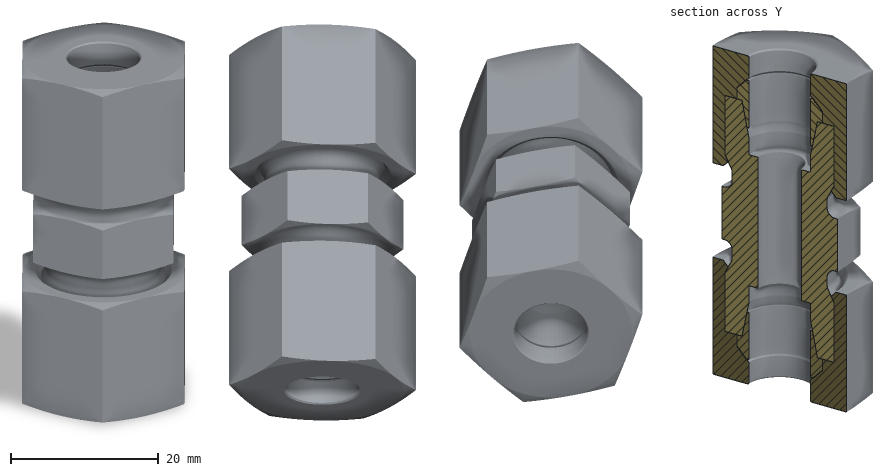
import cadquery as cq
import math


overall_length = 49.0
half_length = overall_length / 2
nut_height = 17.5
nut_inner_z = half_length - nut_height
body_end_z = 17.65
tube_stop_z = 9.8

nut_flats = 22.0
body_flats = 19.0
body_hex_height = 7.95
corner_chamfer_angle = 15.0

thread_diameter = 18.0
neck_diameter = 15.7
neck_length = 1.25
neck_fillet = (thread_diameter - neck_diameter) / 2
runout_angle = 30.0
through_diameter = 7.0
tube_diameter = 10.0
cone_mouth_diameter = 12.3
cone_half_angle = 12.0

nut_bore_depth = 3.3
bore_chamfer = 0.2
nut_mouth_diameter = 18.5

ring_diameter = 14.0
ring_nose_length = 3.9
ring_back_gap = 0.4
seat_top_z = half_length - nut_bore_depth
seat_bottom_z = seat_top_z - (ring_diameter - tube_diameter) / 2

neck_start_z = body_hex_height / 2 + neck_fillet
neck_end_z = neck_start_z + neck_length
runout_radians = math.radians(runout_angle)
runout_slope = math.tan(runout_radians)
runout_start_radius = neck_diameter / 2 + neck_fillet * (1 - math.cos(runout_radians))
runout_start_z = neck_end_z + neck_fillet * math.sin(runout_radians)
runout_end_z = runout_start_z + (thread_diameter / 2 - runout_start_radius) / runout_slope

cone_slope = math.tan(math.radians(cone_half_angle))


def revolve_about_z(profile):
    """Revolve an (r, z) profile drawn on the XZ plane about the Z axis."""
    return profile.close().revolve(360, (0, 0, 0), (0, 1, 0))


def chamfered_hexagon(flats, bottom_z, height):
    """Hexagon with corners on the Y axis, both ends chamfered by a cone touching the flats."""
    corner_radius = flats / math.sqrt(3)
    flat_radius = flats / 2
    drop = (corner_radius - flat_radius) * math.tan(math.radians(corner_chamfer_angle))
    top_z = bottom_z + height
    prism = (
        cq.Workplane("XY", origin=(0, 0, bottom_z))
        .polygon(6, 2 * corner_radius)
        .extrude(height)
        .rotate((0, 0, 0), (0, 0, 1), 30)
    )
    envelope = revolve_about_z(
        cq.Workplane("XZ")
        .moveTo(0, bottom_z)
        .lineTo(flat_radius, bottom_z)
        .lineTo(corner_radius, bottom_z + drop)
        .lineTo(corner_radius, top_z - drop)
        .lineTo(flat_radius, top_z)
        .lineTo(0, top_z)
    )
    return prism.intersect(envelope)


def mirrored(upper):
    """Copy of an upper-end shape for the lower end."""
    return upper.mirror("XY")


def both_ends(upper):
    """Separate solids of an upper-end body and its lower-end copy."""
    return [end.val() for end in (upper, mirrored(upper))]


def make_threaded_end():
    """Solid upper end: filleted neck, conical run-out and threaded cylinder."""
    thread_radius = thread_diameter / 2
    neck_radius = neck_diameter / 2
    hex_top_z = body_hex_height / 2
    fillet_inset = neck_fillet * math.sqrt(0.5)
    half_runout = runout_radians / 2
    blend_mid_radius = neck_radius + neck_fillet * (1 - math.cos(half_runout))
    blend_mid_z = neck_end_z + neck_fillet * math.sin(half_runout)
    return revolve_about_z(
        cq.Workplane("XZ")
        .moveTo(0, hex_top_z)
        .lineTo(thread_radius, hex_top_z)
        .threePointArc(
            (thread_radius - fillet_inset, neck_start_z - fillet_inset),
            (neck_radius, neck_start_z),
        )
        .lineTo(neck_radius, neck_end_z)
        .threePointArc((blend_mid_radius, blend_mid_z), (runout_start_radius, runout_start_z))
        .lineTo(thread_radius, runout_end_z)
        .lineTo(thread_radius, body_end_z)
        .lineTo(0, body_end_z)
    )


def make_tube_socket():
    """Cutter for the upper tube socket and the cone that takes the cutting ring."""
    tube_radius = tube_diameter / 2
    mouth_radius = cone_mouth_diameter / 2
    cone_depth = (mouth_radius - tube_radius) / cone_slope
    return revolve_about_z(
        cq.Workplane("XZ")
        .moveTo(0, tube_stop_z)
        .lineTo(tube_radius, tube_stop_z)
        .lineTo(tube_radius, body_end_z - cone_depth)
        .lineTo(mouth_radius, body_end_z)
        .lineTo(0, body_end_z)
    )


def make_body():
    threaded_end = make_threaded_end()
    tube_socket = make_tube_socket()
    through_hole = (
        cq.Workplane("XY", origin=(0, 0, -half_length))
        .circle(through_diameter / 2)
        .extrude(overall_length)
    )
    return (
        chamfered_hexagon(body_flats, -body_hex_height / 2, body_hex_height)
        .union(threaded_end)
        .union(mirrored(threaded_end))
        .cut(tube_socket)
        .cut(mirrored(tube_socket))
        .cut(through_hole)
    )


def make_nut():
    """Upper nut: countersunk mouth fitted to the thread run-out, ring seat and tube bore."""
    bore_radius = tube_diameter / 2
    mouth_radius = nut_mouth_diameter / 2
    ring_radius = ring_diameter / 2
    thread_radius = thread_diameter / 2
    runout_radius_at_face = runout_start_radius + (nut_inner_z - runout_start_z) * runout_slope
    countersink_depth = (mouth_radius - runout_radius_at_face) / (1 + runout_slope)
    cavity = revolve_about_z(
        cq.Workplane("XZ")
        .moveTo(0, nut_inner_z)
        .lineTo(mouth_radius, nut_inner_z)
        .lineTo(mouth_radius - countersink_depth, nut_inner_z + countersink_depth)
        .lineTo(thread_radius, runout_end_z)
        .lineTo(thread_radius, body_end_z)
        .lineTo(ring_radius, body_end_z)
        .lineTo(ring_radius, seat_bottom_z)
        .lineTo(bore_radius, seat_top_z)
        .lineTo(bore_radius, half_length - bore_chamfer)
        .lineTo(bore_radius + bore_chamfer, half_length)
        .lineTo(0, half_length)
    )
    return chamfered_hexagon(nut_flats, nut_inner_z, nut_height).cut(cavity)


def make_cutting_ring():
    """Upper cutting ring: tapered nose in the body cone, collar and 45 degree back in the nut."""
    tube_radius = tube_diameter / 2
    ring_radius = ring_diameter / 2
    mouth_radius = cone_mouth_diameter / 2
    back_z = seat_top_z - ring_back_gap
    nose_z = body_end_z - ring_nose_length
    nose_radius = mouth_radius - ring_nose_length * cone_slope
    return revolve_about_z(
        cq.Workplane("XZ")
        .moveTo(tube_radius, nose_z)
        .lineTo(nose_radius, nose_z)
        .lineTo(mouth_radius, body_end_z)
        .lineTo(ring_radius, body_end_z)
        .lineTo(ring_radius, seat_bottom_z)
        .lineTo(tube_radius + ring_back_gap, back_z)
        .lineTo(tube_radius, back_z)
    )


body = make_body()
nuts = both_ends(make_nut())
cutting_rings = both_ends(make_cutting_ring())

result = cq.Compound.makeCompound([body.val(), *nuts, *cutting_rings])